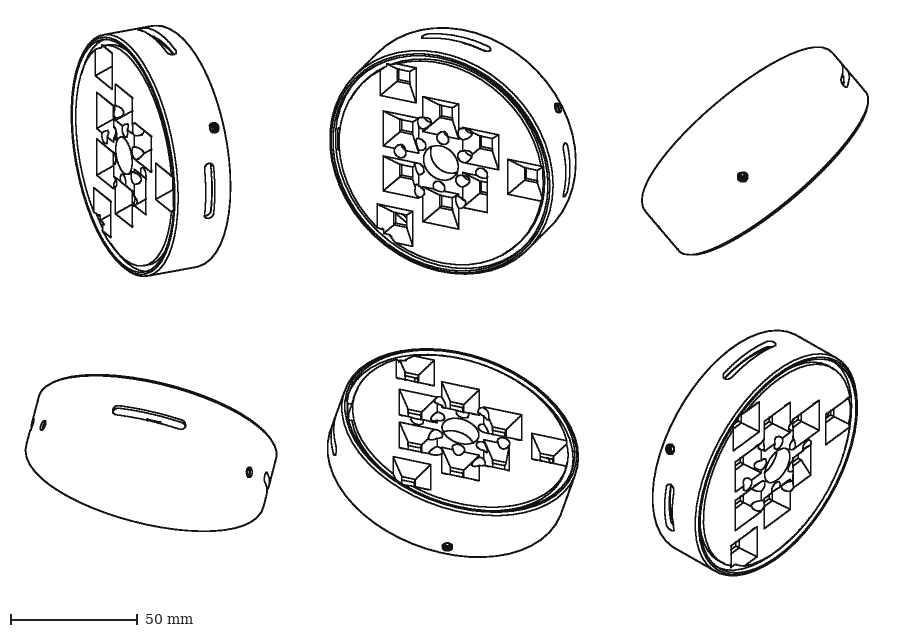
import cadquery as cq
import math

OUTER_DIAMETER = 97.0
THICKNESS = 25.0
FRONT_Y = -THICKNESS / 2
BACK_FILLET = 2.9
FRONT_CHAMFER = 1.0
SEAT_DIAMETER = 93.4
CAVITY_DIAMETER = 91.6
LEDGE_Y = 5.6
BACK_BORE_DIAMETER = 88.0
CAVITY_FLOOR_Y = 10.5

SLOT_Y = 2.5
SLOT_WIDTH = 4.0
TOP_SLOT_LENGTH = 29.5
SIDE_SLOT_LENGTH = 23.5

SCREW_Y = 7.4
SCREW_ANGLES = (30, 150, 270)
SCREW_STEPS = ((4.0, 1.0), (2.8, 1.9), (1.8, 3.9))

RAISED_DIAMETER = 88.5
PLATE_RECESS = 0.4
PLATE_FRONT_Y = FRONT_Y + PLATE_RECESS
RAISED_HEIGHT = 1.9
PLATE_THICKNESS = 6.7
CENTER_BORE_DIAMETER = 15.0
SMALL_HOLE_DIAMETER = 5.0
SMALL_HOLES_PER_RING = 6
SMALL_HOLE_RINGS = ((11.0, 25.7), (17.75, 56.3))

NOTCHES = ((180, 9.9, CAVITY_DIAMETER), (270, 12.1, 89.6))

POCKET_MOUTH = 15.5
POCKET_THROAT = 5.5
POCKET_TAPER_DEPTH = (POCKET_MOUTH - POCKET_THROAT) / 2
INNER_POCKET_RADIUS = 20.0
INNER_POCKET_ANGLES = (30, 90, 150, 210, 270)
CUT_OFF_POCKET_ANGLE = 330
OUTER_POCKETS = ((36.9, 0.0), (-18.5, 32.1), (-19.9, -31.8))


def polar(radius, angle):
    """X and Z of a point at an angle around the Y axis, counted from +X toward +Z."""
    turn = math.radians(angle)
    return radius * math.cos(turn), radius * math.sin(turn)


def cylinder(diameter, y_start, y_end, x=0.0, z=0.0):
    """A cylinder along Y."""
    base = cq.Workplane("XZ", origin=(x, y_start, z))
    return base.circle(diameter / 2).extrude(y_start - y_end)


def radial_cylinder(diameter, depth, angle):
    """A cylinder along a radius, reaching the given depth below the outer surface."""
    outer_radius = OUTER_DIAMETER / 2
    x, z = polar(1.0, angle)
    outward = cq.Vector(x, 0, z)
    start = outward * (outer_radius - depth) + cq.Vector(0, SCREW_Y, 0)
    return cq.Workplane(cq.Solid.makeCylinder(diameter / 2, depth + 1.0, start, outward))


def radial_slot(length, angle):
    """A round-ended slot through the wall on one side of the housing."""
    slot = cq.Workplane("XY").center(0, SLOT_Y).slot2D(length, SLOT_WIDTH)
    slot = slot.extrude(OUTER_DIAMETER)
    return slot.rotate((0, 0, 0), (0, 1, 0), 90 - angle)


def make_housing():
    back_y = FRONT_Y + THICKNESS
    shoulder_y = PLATE_FRONT_Y + PLATE_THICKNESS
    housing = cylinder(OUTER_DIAMETER, FRONT_Y, back_y)
    housing = housing.faces(">Y").edges().fillet(BACK_FILLET)
    housing = housing.faces("<Y").edges().chamfer(FRONT_CHAMFER)
    housing = housing.cut(cylinder(SEAT_DIAMETER, FRONT_Y, shoulder_y))
    housing = housing.cut(cylinder(CAVITY_DIAMETER, shoulder_y, LEDGE_Y))
    housing = housing.cut(cylinder(BACK_BORE_DIAMETER, LEDGE_Y, CAVITY_FLOOR_Y))
    housing = housing.cut(radial_slot(TOP_SLOT_LENGTH, 90))
    for angle in (0, 180):
        housing = housing.cut(radial_slot(SIDE_SLOT_LENGTH, angle))
    for angle in SCREW_ANGLES:
        for diameter, depth in SCREW_STEPS:
            housing = housing.cut(radial_cylinder(diameter, depth, angle))
    return housing


def pocket(x, z):
    """A square pocket that narrows to a straight square throat through the plate."""
    mouth = cq.Workplane("XZ", origin=(x, PLATE_FRONT_Y, z)).rect(POCKET_MOUTH, POCKET_MOUTH)
    taper = mouth.workplane(offset=-POCKET_TAPER_DEPTH).rect(POCKET_THROAT, POCKET_THROAT).loft()
    throat = cq.Workplane("XZ", origin=(x, PLATE_FRONT_Y, z)).rect(POCKET_THROAT, POCKET_THROAT)
    return taper.union(throat.extrude(-PLATE_THICKNESS))


def cut_off_pocket(x, z):
    """A pocket whose +X side rises straight from the throat."""
    kept_width = (POCKET_MOUTH + POCKET_THROAT) / 2
    kept_x = x - (POCKET_MOUTH - POCKET_THROAT) / 4
    kept = cq.Workplane("XZ", origin=(kept_x, PLATE_FRONT_Y, z)).rect(kept_width, POCKET_MOUTH)
    return pocket(x, z).intersect(kept.extrude(-PLATE_THICKNESS))


def flange_notch(angle, width, diameter):
    """A shallow notch around the raised disc, through the flange."""
    back_y = PLATE_FRONT_Y + PLATE_THICKNESS
    ring = cylinder(diameter, PLATE_FRONT_Y, back_y)
    ring = ring.cut(cylinder(RAISED_DIAMETER, PLATE_FRONT_Y, back_y))
    x, z = polar(diameter / 2, angle)
    block = cq.Workplane("XY").box(diameter / 2, THICKNESS * 2, width)
    block = block.rotate((0, 0, 0), (0, 1, 0), -angle).translate((x, 0, z))
    return ring.intersect(block)


def make_plate():
    flange_y = PLATE_FRONT_Y + RAISED_HEIGHT
    back_y = PLATE_FRONT_Y + PLATE_THICKNESS
    plate = cylinder(SEAT_DIAMETER, flange_y, back_y)
    plate = plate.union(cylinder(RAISED_DIAMETER, PLATE_FRONT_Y, back_y))
    plate = plate.cut(cylinder(CENTER_BORE_DIAMETER, PLATE_FRONT_Y, back_y))
    for radius, first_angle in SMALL_HOLE_RINGS:
        for index in range(SMALL_HOLES_PER_RING):
            x, z = polar(radius, first_angle + index * 360 / SMALL_HOLES_PER_RING)
            plate = plate.cut(cylinder(SMALL_HOLE_DIAMETER, PLATE_FRONT_Y, back_y, x, z))
    for angle in INNER_POCKET_ANGLES:
        plate = plate.cut(pocket(*polar(INNER_POCKET_RADIUS, angle)))
    plate = plate.cut(cut_off_pocket(*polar(INNER_POCKET_RADIUS, CUT_OFF_POCKET_ANGLE)))
    for x, z in OUTER_POCKETS:
        plate = plate.cut(pocket(x, z))
    for angle, width, diameter in NOTCHES:
        plate = plate.cut(flange_notch(angle, width, diameter))
    return plate


housing = make_housing()
plate = make_plate()
result = cq.Compound.makeCompound([housing.val(), plate.val()])